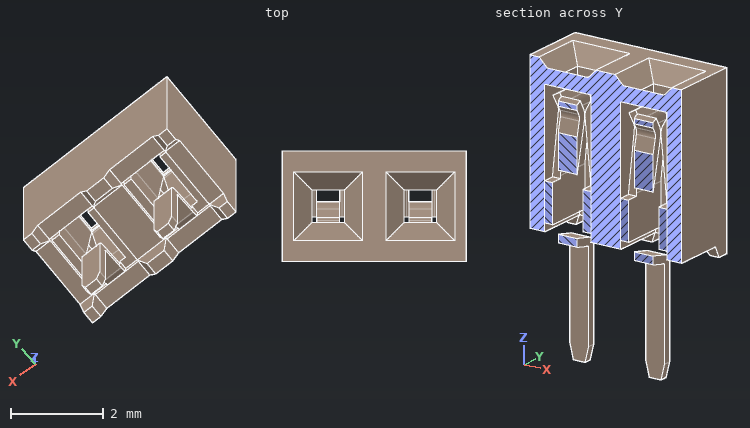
import cadquery as cq
import math


pitch = 2.0
positions = [-pitch / 2, pitch / 2]

housing_length = 4.0
housing_width = 2.4
housing_height = 4.3

foot_height = 0.29
cell_recess_width = 1.2
cell_recess_angle = 30
long_recess_width = 1.525
long_recess_angle = 25

strip_thickness = 0.2
strip_width = 0.5

funnel_width = 1.5
throat_width = 0.7
funnel_depth = (funnel_width - throat_width) / 2
throat_length = 0.21
throat_bottom = housing_height - funnel_depth - throat_length

cavity_half_length = 0.6
cavity_half_width = 0.8

tail_length = 2.7
tail_offset_angle = math.radians(13)
tip_length = 0.385
tip_width = 0.31

contact_gap = strip_width / 2
contact_height = 3.045
contact_radius = 0.42
lead_in_angle = math.radians(30)
lead_in_length = 0.23
knee_height = 1.54
side_finger_start = -0.24
side_wall_end = 0.7

base_bottom = 0.49
base_height = 0.98


def box(x_range, y_range, z_range):
    """Box between the given limits."""
    size = [high - low for low, high in (x_range, y_range, z_range)]
    corner = (x_range[0], y_range[0], z_range[0])
    return cq.Workplane("XY").box(*size, centered=False).translate(corner)


def recess(plane, top_width, angle, length):
    """Trapezoidal channel through the underside, wider at the bottom."""
    half_top = top_width / 2
    half_bottom = half_top + foot_height * math.tan(math.radians(angle))
    outline = [(-half_bottom, 0), (-half_top, foot_height), (half_top, foot_height), (half_bottom, 0)]
    return cq.Workplane(plane).polyline(outline).close().extrude(length / 2, both=True)


def funnel():
    """Square opening that narrows downwards from the top of the housing."""
    return (
        cq.Workplane("XY", origin=(0, 0, housing_height - funnel_depth))
        .rect(throat_width, throat_width)
        .workplane(offset=funnel_depth)
        .rect(funnel_width, funnel_width)
        .loft(ruled=True)
    )


def make_housing():
    body = box(
        (-housing_length / 2, housing_length / 2),
        (-housing_width / 2, housing_width / 2),
        (0, housing_height),
    )
    body = body.cut(recess("YZ", long_recess_width, long_recess_angle, housing_length))
    cell_recess = recess("XZ", cell_recess_width, cell_recess_angle, housing_width)
    throat_limits = (-throat_width / 2, throat_width / 2)
    throat = box(throat_limits, throat_limits, (throat_bottom, housing_height - funnel_depth))
    cavity = box(
        (-cavity_half_length, cavity_half_length),
        (-cavity_half_width, cavity_half_width),
        (0, throat_bottom),
    )
    for x in positions:
        for cut in (cell_recess, funnel(), throat, cavity):
            body = body.cut(cut.translate((x, 0, 0)))
    return body.solids()


def finger_profile(plane, wall_distance):
    """Wall that leans towards the axis, bulges at the contact point and flares out at its top.

    The first coordinate is the distance from the axis, the second is the height.
    """
    centre = (contact_gap + contact_radius, contact_height)
    back_radius = contact_radius - strip_thickness

    run = centre[0] - wall_distance
    rise = contact_height - knee_height
    lean = math.asin(contact_radius / math.hypot(run, rise)) - math.atan2(run, rise)

    def on_bulge(radius, angle):
        return (centre[0] - radius * math.cos(angle), centre[1] + radius * math.sin(angle))

    def flare_end(radius):
        x, z = on_bulge(radius, lead_in_angle)
        return (x + lead_in_length * math.sin(lead_in_angle), z + lead_in_length * math.cos(lead_in_angle))

    outer_distance = wall_distance + strip_thickness
    outer_knee = knee_height + strip_thickness * math.tan(lean / 2)
    return (
        cq.Workplane(plane)
        .moveTo(wall_distance, base_bottom)
        .lineTo(wall_distance, knee_height)
        .lineTo(*on_bulge(contact_radius, -lean))
        .threePointArc(on_bulge(contact_radius, 0), on_bulge(contact_radius, lead_in_angle))
        .lineTo(*flare_end(contact_radius))
        .lineTo(*flare_end(back_radius))
        .lineTo(*on_bulge(back_radius, lead_in_angle))
        .threePointArc(on_bulge(back_radius, 0), on_bulge(back_radius, -lean))
        .lineTo(outer_distance, outer_knee)
        .lineTo(outer_distance, base_bottom)
        .close()
    )


def make_fingers():
    """Two side fingers that face each other, and one in front of them."""
    side_wall = cavity_half_length - strip_thickness
    front_wall = cavity_half_width - strip_thickness
    right = finger_profile("XZ", side_wall).extrude(side_wall_end - side_finger_start)
    right = right.translate((0, side_wall_end, 0))
    left = right.mirror("YZ")
    front = finger_profile("YZ", front_wall).extrude(strip_width / 2, both=True).mirror("XZ")
    return right.union(left).union(front)


def make_base():
    """U-shaped clip that lines the front and the sides of the cavity."""
    heights = (base_bottom, base_bottom + base_height)
    inner_half = cavity_half_length - strip_thickness
    outer = box((-cavity_half_length, cavity_half_length), (-cavity_half_width, side_wall_end), heights)
    inner = box((-inner_half, inner_half), (strip_thickness - cavity_half_width, side_wall_end), heights)
    return outer.cut(inner)


def make_tail():
    """Strip that leaves the front wall, crosses to the middle and runs straight down to a tip."""
    half = strip_thickness / 2
    wall_inner = strip_thickness - cavity_half_width
    slope = math.tan(tail_offset_angle)
    lower_corner = (-half, 0)
    crossing_rise = (lower_corner[0] - wall_inner) * slope
    upper_corner_height = crossing_rise + strip_thickness / math.cos(tail_offset_angle)
    upper_corner = (wall_inner, upper_corner_height)

    def around(corner, angle):
        return (
            corner[0] + strip_thickness * math.cos(angle),
            corner[1] + strip_thickness * math.sin(angle),
        )

    crossing_normal = math.pi / 2 - tail_offset_angle
    middle_normal = crossing_normal / 2
    strip = (
        cq.Workplane("YZ")
        .moveTo(-half, -tail_length)
        .lineTo(half, -tail_length)
        .lineTo(half, 0)
        .threePointArc(around(lower_corner, middle_normal), around(lower_corner, crossing_normal))
        .lineTo(*upper_corner)
        .lineTo(wall_inner, base_bottom)
        .lineTo(-cavity_half_width, base_bottom)
        .lineTo(-cavity_half_width, upper_corner[1])
        .threePointArc(
            around(upper_corner, middle_normal + math.pi),
            around(upper_corner, crossing_normal + math.pi),
        )
        .lineTo(*lower_corner)
        .close()
        .extrude(strip_width / 2, both=True)
    )
    return strip.intersect(tail_outline())


def tail_outline():
    """Front outline of the tail, tapered on both sides at its lower end."""
    outline = [
        (-tip_width / 2, -tail_length),
        (tip_width / 2, -tail_length),
        (strip_width / 2, tip_length - tail_length),
        (strip_width / 2, base_bottom),
        (-strip_width / 2, base_bottom),
        (-strip_width / 2, tip_length - tail_length),
    ]
    return cq.Workplane("XZ").polyline(outline).close().extrude(housing_width / 2, both=True)


def make_contact(x):
    contact = make_base().union(make_fingers()).union(make_tail())
    return contact.translate((x, 0, 0)).solids()


housing = make_housing()
contacts = [make_contact(x) for x in positions]

result = cq.Compound.makeCompound([housing.val(), *[contact.val() for contact in contacts]])